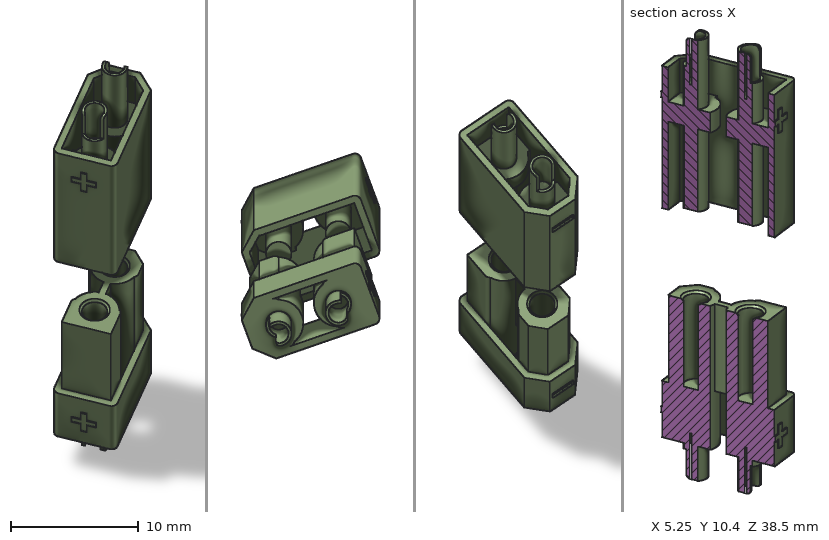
import cadquery as cq


body_width = 5.25
body_depth = 10.25
key_chamfer_x = 1.4
key_chamfer_y = 1.5
corner_radius = 0.5
wall = 0.58
inner_width = body_width - 2 * wall
inner_depth = body_depth - 2 * wall
chamfer_reduction = 0.35

pole_spacing = 4.95
pole_y = pole_spacing / 2
contact_radius = 1.0
cup_bore_radius = 0.77
cup_length = 3.0
cup_bore_depth = 4.0
cup_shoulder = 0.5
cup_cut_offset = 0.45
cup_tip_radius = 0.4

support_radius = 1.92
support_reach = 0.75
support_edge_radius = 0.5

plug_block_height = 4.95
plug_nose_height = 7.62
web_thickness = 0.58
socket_depth = plug_nose_height
socket_chamfer = 0.2

shell_height = 12.47
top_recess_depth = 3.0
mating_cavity_depth = 7.7
pin_setback = 0.5

mark_length = 2.05
mark_bar = 0.5
mark_height = 0.095
mark_drop = 2.55

overall_height = 38.5
block_bottom = cup_length
block_top = block_bottom + plug_block_height
nose_top = block_top + plug_nose_height
shell_top = overall_height - cup_length
shell_bottom = shell_top - shell_height


def keyed_prism(width, depth, chamfer_x, chamfer_y, bottom, height):
    """Rectangular prism with its two +Y vertical corners chamfered."""
    half_width = width / 2
    half_depth = depth / 2
    return (
        cq.Workplane("XY", origin=(0, 0, bottom))
        .moveTo(-half_width, -half_depth)
        .lineTo(half_width, -half_depth)
        .lineTo(half_width, half_depth - chamfer_y)
        .lineTo(half_width - chamfer_x, half_depth)
        .lineTo(-half_width + chamfer_x, half_depth)
        .lineTo(-half_width, half_depth - chamfer_y)
        .close()
        .extrude(height)
    )


def outer_prism(bottom, height):
    prism = keyed_prism(body_width, body_depth, key_chamfer_x, key_chamfer_y, bottom, height)
    return prism.edges("|Z and <Y").fillet(corner_radius)


def inner_prism(bottom, height):
    chamfer_x = key_chamfer_x - chamfer_reduction
    chamfer_y = key_chamfer_y - chamfer_reduction
    return keyed_prism(inner_width, inner_depth, chamfer_x, chamfer_y, bottom, height)


def housing_tube(bottom, height):
    return outer_prism(bottom, height).cut(inner_prism(bottom, height))


def pole_cylinder(side, radius, bottom, height):
    return cq.Workplane("XY", origin=(0, side * pole_y, bottom)).circle(radius).extrude(height)


def pole_support(side, bottom, height, edge_radius=0):
    """D-shaped column: fills one end of the inner outline and is round towards the middle."""
    inner_limit = pole_y - support_reach
    length = inner_depth / 2 - inner_limit
    block = (
        cq.Workplane("XY", origin=(0, side * (inner_limit + length / 2), bottom))
        .box(inner_width, length, height, centered=(True, True, False))
    )
    if edge_radius:
        middle_edges = "|Z and <Y" if side > 0 else "|Z and >Y"
        block = block.edges(middle_edges).fillet(edge_radius)
    end = block.intersect(inner_prism(bottom, height))
    return end.union(pole_cylinder(side, support_radius, bottom, height))


def solder_cup(side, root):
    """Upward solder cup, open on the side that faces away from the other pole."""
    cup = pole_cylinder(side, contact_radius, root, cup_length)
    open_length = cup_length - cup_shoulder
    open_depth = contact_radius - cup_cut_offset
    opening_y = side * (pole_y + cup_cut_offset + open_depth / 2)
    opening = (
        cq.Workplane("XY", origin=(0, opening_y, root + cup_shoulder))
        .box(2 * contact_radius, open_depth, open_length, centered=(True, True, False))
    )
    cup = cup.cut(opening)
    tip_edge = cq.selectors.NearestToPointSelector(
        (0, side * (pole_y + cup_cut_offset), root + cup_length)
    )
    return cup.edges(tip_edge).fillet(cup_tip_radius)


def cup_bore(side, root):
    return pole_cylinder(side, cup_bore_radius, root + cup_length - cup_bore_depth, cup_bore_depth)


def turned_over(shape, plane_z):
    return shape.mirror("XY", (0, 0, plane_z))


def mark_bar_solid(side, length, height, center_z):
    """Flat raised bar on the -Y or +Y face, sunk one wall deep so that it joins the body."""
    thickness = wall + mark_height
    center_y = side * (body_depth / 2 + mark_height - thickness / 2)
    return cq.Workplane("XY", origin=(0, center_y, center_z)).box(length, thickness, height)


def add_polarity_marks(body, top):
    """Plus mark on the -Y face and minus mark on the +Y face."""
    center_z = top - mark_drop
    body = body.union(mark_bar_solid(-1, mark_length, mark_bar, center_z))
    body = body.union(mark_bar_solid(-1, mark_bar, mark_length, center_z))
    return body.union(mark_bar_solid(1, mark_length, mark_bar, center_z))


def socket_lead_in(side):
    """45-degree countersink at the mouth of a socket."""
    mouth_radius = contact_radius + socket_chamfer
    return (
        cq.Workplane("XY", origin=(0, side * pole_y, nose_top - socket_chamfer))
        .circle(contact_radius)
        .workplane(offset=socket_chamfer)
        .circle(mouth_radius)
        .loft(ruled=True)
    )


def make_plug():
    """Female plug: open block, two-column nose with a web, sockets and downward solder cups."""
    plug = add_polarity_marks(housing_tube(block_bottom, plug_block_height), block_top)
    support_height = plug_block_height + plug_nose_height
    for side in (-1, 1):
        plug = plug.union(pole_support(side, block_bottom, support_height, support_edge_radius))
    web = (
        cq.Workplane("XY", origin=(0, 0, block_top))
        .box(web_thickness, pole_spacing, plug_nose_height, centered=(True, True, False))
    )
    plug = plug.union(web)
    for side in (-1, 1):
        plug = plug.union(turned_over(solder_cup(side, block_bottom), block_bottom))
        plug = plug.cut(turned_over(cup_bore(side, block_bottom), block_bottom))
        socket = pole_cylinder(side, contact_radius, nose_top - socket_depth, socket_depth)
        plug = plug.cut(socket)
        plug = plug.cut(socket_lead_in(side))
    return plug


def make_shell():
    """Male shell: tube with two pole supports inside, pins below them and solder cups above."""
    shell = add_polarity_marks(housing_tube(shell_bottom, shell_height), shell_top)
    support_bottom = shell_bottom + mating_cavity_depth
    support_height = shell_height - mating_cavity_depth - top_recess_depth
    pin_bottom = shell_bottom + pin_setback
    for side in (-1, 1):
        shell = shell.union(pole_support(side, support_bottom, support_height))
        shell = shell.union(pole_cylinder(side, contact_radius, pin_bottom, shell_top - pin_bottom))
        shell = shell.union(solder_cup(side, shell_top))
        shell = shell.cut(cup_bore(side, shell_top))
    return shell


plug = make_plug()
shell = make_shell()

result = cq.Compound.makeCompound([plug.val(), shell.val()])